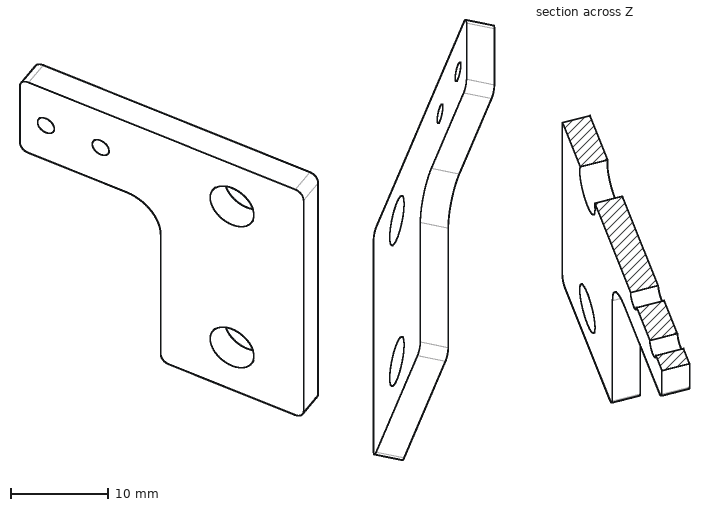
import cadquery as cq

width = 33.7
height = 32.0
thickness = 3.0

arm_height = 10.0
leg_width = 17.0
corner_radius = 1.0
inner_radius = 4.0

large_diameter = 5.2
large_end_offset = 6.0

small_diameter = 2.0
small_top_offset = 5.12
small_first_offset = 3.1
small_spacing = 6.5

leg_left = width - leg_width
arm_bottom = height - arm_height
leg_center = width - leg_width / 2
small_z = height - small_top_offset


def make_plate():
    """L-shaped plate with its front face on Y = 0 and rounded corners."""
    plate = (
        cq.Workplane("XZ")
        .moveTo(leg_left, 0)
        .lineTo(width, 0)
        .lineTo(width, height)
        .lineTo(0, height)
        .lineTo(0, arm_bottom)
        .lineTo(leg_left, arm_bottom)
        .close()
        .extrude(-thickness)
    )
    inner_edge = cq.selectors.NearestToPointSelector((leg_left, thickness / 2, arm_bottom))
    outer_edges = cq.selectors.SubtractSelector(cq.StringSyntaxSelector("|Y"), inner_edge)
    plate = plate.edges(outer_edges).fillet(corner_radius)
    return plate.edges(inner_edge).fillet(inner_radius)


def make_holes(centers, diameter):
    """Cylinders through the plate thickness at the given (X, Z) centers."""
    return cq.Workplane("XZ").pushPoints(centers).circle(diameter / 2).extrude(-thickness)


large_centers = [(leg_center, z) for z in (large_end_offset, height - large_end_offset)]
small_centers = [(small_first_offset + i * small_spacing, small_z) for i in range(2)]

result = (
    make_plate()
    .cut(make_holes(large_centers, large_diameter))
    .cut(make_holes(small_centers, small_diameter))
)